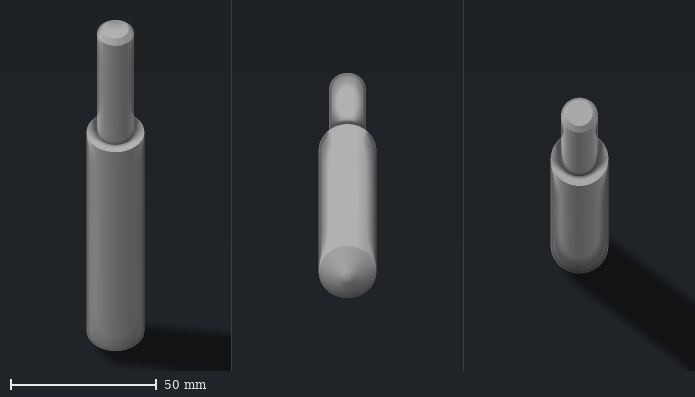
import cadquery as cq
import math

total_length = 152.4
body_diameter = 19.8
shank_diameter = 12.6
shank_length = 49.8
collar_length = 34.0
shank_chamfer = 1.8
point_angle = 118.0

body_radius = body_diameter / 2
point_height = body_radius / math.tan(math.radians(point_angle / 2))
shoulder_z = total_length - shank_length
joint_z = shoulder_z - collar_length


def make_holder():
    """Collar with a thinner shank above it, chamfered at the free end."""
    collar = cq.Workplane("XY").workplane(offset=joint_z).circle(body_radius).extrude(collar_length)
    shank = (
        cq.Workplane("XY")
        .workplane(offset=shoulder_z)
        .circle(shank_diameter / 2)
        .extrude(shank_length)
        .faces(">Z")
        .chamfer(shank_chamfer)
    )
    return collar.union(shank)


def make_pointed_rod():
    """Round rod with a conical point at its lower end, flush with the collar."""
    half_profile = (
        cq.Workplane("XZ")
        .moveTo(0, 0)
        .lineTo(body_radius, point_height)
        .lineTo(body_radius, joint_z)
        .lineTo(0, joint_z)
        .close()
    )
    return half_profile.revolve(360, (0, 0, 0), (0, 1, 0))


holder = make_holder()
pointed_rod = make_pointed_rod()

result = cq.Compound.makeCompound([holder.val(), pointed_rod.val()])